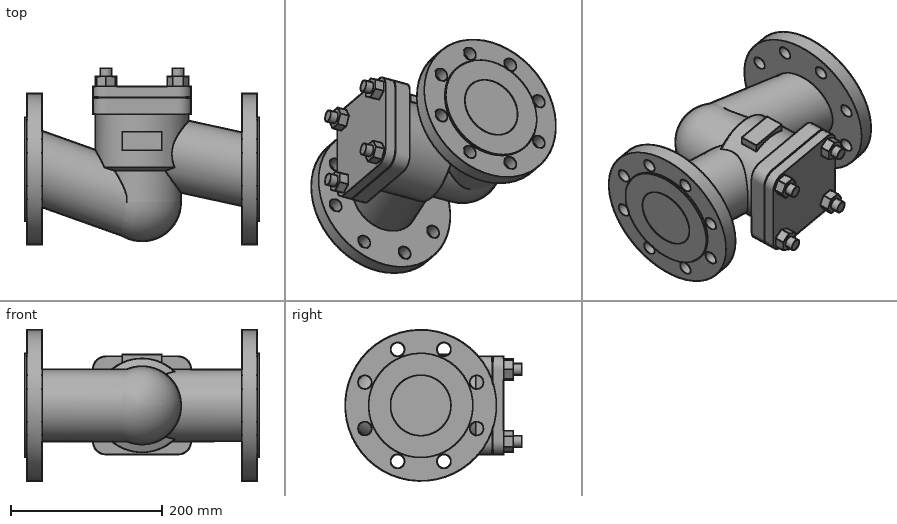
import cadquery as cq
import math

face_to_face = 310.0
flange_radius = 99.98
flange_thickness = 20.0
raised_face_radius = 68.8
raised_face_height = 3.0
bore_radius = 40.0
bore_recess_depth = 0.3
bolt_circle_radius = 80.0
bolt_hole_radius = 9.0
bolt_hole_count = 8

pipe_radius = 47.7
left_pipe_angle = 19.6
right_pipe_angle = 12.3

bowl_radius = 51.8
bowl_center_y = -43.7
chamber_radius = 62.0
chamber_base_y = 2.2
chamber_cone_height = 4.3

bonnet_width = 130.0
bonnet_corner_radius = 17.5
body_plate_y = 72.5
body_plate_thickness = 21.7
gasket_radius = 58.0
gasket_thickness = 1.0
cover_thickness = 14.3

stud_radius = 7.8
nut_across_corners = 28.5
nut_height = 13.0
stud_top_y = 233.5 - flange_radius

pad_width = 52.7
pad_height = 24.8
pad_center_y = 37.2
pad_top_z = 67.3

half_length = face_to_face / 2
flange_outer_x = half_length - raised_face_height
flange_inner_x = flange_outer_x - flange_thickness
gasket_y = body_plate_y + body_plate_thickness
cover_y = gasket_y + gasket_thickness
cover_top_y = cover_y + cover_thickness
stud_offset = bonnet_width / 2 - bonnet_corner_radius


def disc_x(radius, x_start, x_end):
    """Cylinder about the X axis between two X positions."""
    return cq.Workplane("YZ", origin=(x_start, 0, 0)).circle(radius).extrude(x_end - x_start)


def upright(y_start):
    """Workplane whose normal points along +Y; its local axes are X and -Z."""
    return cq.Workplane("XZ", origin=(0, y_start, 0)).transformed(rotate=(180, 0, 0))


def end_flange():
    """Flange at the +X end, with raised face, shallow bore recess and bolt holes."""
    flange = disc_x(flange_radius, flange_inner_x, flange_outer_x)
    flange = flange.union(disc_x(raised_face_radius, flange_inner_x, half_length))
    flange = flange.cut(disc_x(bore_radius, half_length - bore_recess_depth, half_length))
    holes = (
        cq.Workplane("YZ", origin=(flange_inner_x, 0, 0))
        .polarArray(bolt_circle_radius, 180 / bolt_hole_count, 360, bolt_hole_count)
        .circle(bolt_hole_radius)
        .extrude(flange_thickness)
    )
    return flange.cut(holes)


def leaning_pipe(side, rise_angle):
    """Pipe from the flange on the given X side (-1 or 1) to the middle of the body.

    Its axis meets the X axis at the inner flange face and rises by rise_angle towards X = 0.
    """
    rise = math.radians(rise_angle)
    inward = cq.Vector(-side * math.cos(rise), math.sin(rise), 0)
    overrun = flange_thickness + pipe_radius * math.tan(abs(rise))
    length = flange_inner_x / math.cos(rise)
    start = cq.Vector(side * flange_inner_x, 0, 0) - inward * overrun
    pipe = cq.Workplane(cq.Solid.makeCylinder(pipe_radius, length + overrun, start, inward))
    trim_x = flange_inner_x + flange_thickness / 2
    return pipe.intersect(disc_x(2 * flange_radius, -trim_x, trim_x))


def valve_body():
    """Round bowl, neck, conical step and chamber as one revolved profile."""
    neck_top_y = chamber_base_y - chamber_cone_height
    arc_offset = bowl_radius * math.sqrt(0.5)
    return (
        cq.Workplane("XY")
        .moveTo(0, bowl_center_y - bowl_radius)
        .threePointArc((arc_offset, bowl_center_y - arc_offset), (bowl_radius, bowl_center_y))
        .lineTo(bowl_radius, neck_top_y)
        .lineTo(chamber_radius, chamber_base_y)
        .lineTo(chamber_radius, body_plate_y)
        .lineTo(0, body_plate_y)
        .close()
        .revolve(360, (0, 0, 0), (0, 1, 0))
    )


def bonnet_plate(y_start, thickness):
    """Square plate with rounded corners."""
    plate = upright(y_start).rect(bonnet_width, bonnet_width).extrude(thickness)
    return plate.edges("|Y").fillet(bonnet_corner_radius)


def bonnet():
    """Body plate and cover plate with the round gasket between them."""
    gasket = upright(gasket_y).circle(gasket_radius).extrude(gasket_thickness)
    return (
        bonnet_plate(body_plate_y, body_plate_thickness)
        .union(gasket)
        .union(bonnet_plate(cover_y, cover_thickness))
    )


def stud_with_nut():
    """Stud and hexagon nut at the (+X, +Z) corner, two nut corners pointing along X."""
    corner = upright(cover_top_y).center(stud_offset, -stud_offset)
    nut = corner.polygon(6, nut_across_corners).extrude(nut_height)
    stud = corner.circle(stud_radius).extrude(stud_top_y - cover_top_y)
    return nut.union(stud)


def name_plate_pad():
    """Flat rectangular pad standing on the chamber."""
    return (
        cq.Workplane("XY", origin=(0, pad_center_y, 0))
        .rect(pad_width, pad_height)
        .extrude(pad_top_z)
    )


right_flange = end_flange()
left_flange = right_flange.mirror("YZ")

result = valve_body().union(bonnet()).union(name_plate_pad())
result = result.union(leaning_pipe(-1, -left_pipe_angle))
result = result.union(leaning_pipe(1, right_pipe_angle))
result = result.union(left_flange).union(right_flange)

for quarter in range(4):
    result = result.union(stud_with_nut().rotate((0, 0, 0), (0, 1, 0), 90 * quarter))